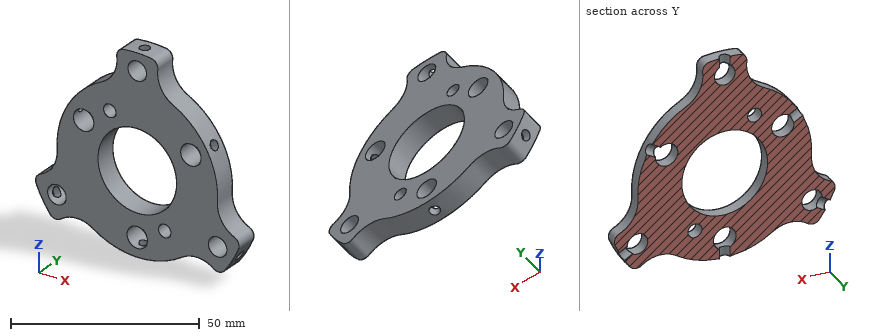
import cadquery as cq
import math

thickness = 7.0
disk_radius = 25.95
bore_diameter = 25.4

lobe_angles = (90, 210, 330)
lobe_tip_radius = 35.4
lobe_waist_width = 13.15
lobe_root_fillet = 9.0
lobe_corner_fillet = 2.5

lobe_hole_diameter = 6.0
lobe_hole_radius = 30.0
disk_hole_angles = (30, 150, 270)
disk_hole_diameter = 6.6
disk_hole_radius = 20.0
pin_hole_angles = (120, 300)
pin_hole_diameter = 4.0
pin_hole_radius = 17.75

radial_hole_diameter = 3.0


def cylinder(diameter):
    """Cylinder along Y, as thick as the plate and centred on it."""
    return cq.Workplane("XZ").circle(diameter / 2).extrude(thickness / 2, both=True)


def rotated(shape, angle):
    """Turn a shape about the plate axis, counter-clockwise from +X as seen from -Y."""
    return shape.rotate((0, 0, 0), (0, 1, 0), -angle)


def polar(radius, angle):
    """Point at a radius and an angle in radians."""
    return radius * math.cos(angle), radius * math.sin(angle)


def point_towards(start, end, distance):
    """Point at a distance from start, on the line to end."""
    share = distance / math.dist(start, end)
    return tuple(a + share * (b - a) for a, b in zip(start, end))


def arc_middle(center, radius, start, end):
    """Middle point of the shorter arc between two points of a circle."""
    chord_middle = tuple((a + b) / 2 for a, b in zip(start, end))
    return point_towards(center, chord_middle, radius)


def mirrored(point):
    """Matching point on the other side of the lobe axis."""
    return point[0], -point[1]


def make_lobe():
    """Lobe along +X: a curved tip whose rounded corners run straight into the concave roots."""
    root_center_radius = disk_radius + lobe_root_fillet
    corner_center_radius = lobe_tip_radius - lobe_corner_fillet
    center_distance = lobe_root_fillet + lobe_corner_fillet

    root_angle = math.asin((lobe_waist_width / 2 + lobe_root_fillet) / root_center_radius)
    root_center = polar(root_center_radius, root_angle)

    angle_between = math.acos(
        (root_center_radius**2 + corner_center_radius**2 - center_distance**2)
        / (2 * root_center_radius * corner_center_radius)
    )
    corner_angle = root_angle - angle_between
    corner_center = polar(corner_center_radius, corner_angle)

    root_start = polar(disk_radius, root_angle)
    root_end = point_towards(root_center, corner_center, lobe_root_fillet)
    tip_start = polar(lobe_tip_radius, corner_angle)
    root_middle = arc_middle(root_center, lobe_root_fillet, root_start, root_end)
    corner_middle = arc_middle(corner_center, lobe_corner_fillet, root_end, tip_start)

    return (
        cq.Workplane("XZ")
        .moveTo(0, 0)
        .lineTo(*root_start)
        .threePointArc(root_middle, root_end)
        .threePointArc(corner_middle, tip_start)
        .threePointArc((lobe_tip_radius, 0), mirrored(tip_start))
        .threePointArc(mirrored(corner_middle), mirrored(root_end))
        .threePointArc(mirrored(root_middle), mirrored(root_start))
        .close()
        .extrude(thickness / 2, both=True)
    )


def make_body():
    """Disk with the lobes blended into its rim."""
    lobe = make_lobe()
    body = cylinder(2 * disk_radius)
    for angle in lobe_angles:
        body = body.union(rotated(lobe, angle))
    return body


def cut_through_holes(body, diameter, radius, angles):
    """Cut holes through the thickness on a circle of the given radius."""
    hole = cylinder(diameter).translate((radius, 0, 0))
    for angle in angles:
        body = body.cut(rotated(hole, angle))
    return body


def cut_radial_holes(body, inner_radius, outer_radius, angles):
    """Drill from the rim into the through holes centred at inner_radius."""
    drill = (
        cq.Workplane("YZ", origin=(inner_radius, 0, 0))
        .circle(radial_hole_diameter / 2)
        .extrude(outer_radius - inner_radius)
    )
    for angle in angles:
        body = body.cut(rotated(drill, angle))
    return body


result = make_body().cut(cylinder(bore_diameter))
result = cut_through_holes(result, lobe_hole_diameter, lobe_hole_radius, lobe_angles)
result = cut_through_holes(result, disk_hole_diameter, disk_hole_radius, disk_hole_angles)
result = cut_through_holes(result, pin_hole_diameter, pin_hole_radius, pin_hole_angles)
result = cut_radial_holes(result, lobe_hole_radius, lobe_tip_radius, lobe_angles)
result = cut_radial_holes(result, disk_hole_radius, disk_radius, disk_hole_angles)